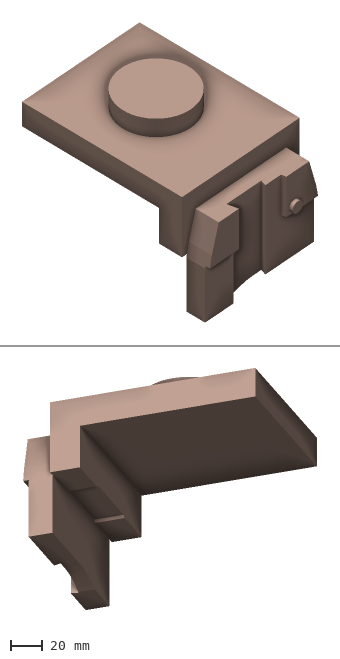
import cadquery as cq
import math

length = 161.0
width = 108.0
height = 110.5
wall = 20.0
plate_length = 138.1
leg_bottom = -49.0

pad_diameter = 59.9
pad_height = 15.0
pad_x = 65.0

groove_depth = 1.6
groove_half_width = 22.9

jaw_width = 100.0
jaw_half_width = jaw_width / 2
jaw_thin = 16.1
jaw_top = -16.7
jaw_bottom = pad_height - height
top_half_width = 41.5
shoulder_inset = 2.1
shoulder_half_width = jaw_half_width - shoulder_inset
shoulder_z = -40.0
side_z = -51.5
step_z = -49.6
relief_rise = 6.1
relief_radius = jaw_half_width

channel_floor = 11.1
channel_left = 7.0
channel_right = -25.0
mouth_left = 5.3
mouth_right = -23.0
ledge_inner = 19.8
ledge_outer = 20.5

pin_diameter = 9.3
pin_y = 27.9
pin_z = -44.3

jaw_front = plate_length
jaw_back = jaw_front + wall
thin_back = jaw_front + jaw_thin


def make_bracket():
    """L-shaped plate and leg with the pad and the leg groove."""
    leg_front = plate_length - wall
    bracket = (
        cq.Workplane("XZ")
        .moveTo(0, 0)
        .lineTo(plate_length, 0)
        .lineTo(plate_length, leg_bottom)
        .lineTo(leg_front, leg_bottom)
        .lineTo(leg_front, -wall)
        .lineTo(0, -wall)
        .close()
        .extrude(width / 2, both=True)
    )
    groove_base = groove_half_width + groove_depth
    groove = (
        cq.Workplane("YZ", origin=(leg_front, 0, leg_bottom))
        .moveTo(-groove_base, 0)
        .lineTo(-groove_half_width, groove_depth)
        .lineTo(groove_half_width, groove_depth)
        .lineTo(groove_base, 0)
        .close()
        .extrude(wall)
    )
    pad = (
        cq.Workplane("XY")
        .center(pad_x, 0)
        .circle(pad_diameter / 2)
        .extrude(pad_height)
    )
    return bracket.cut(groove).union(pad)


def make_jaw():
    """Tapered jaw plate, stepped at the rear and relieved along its lower edge."""
    raised_bottom = jaw_bottom + relief_rise
    arc_end = math.sqrt(relief_radius**2 - (relief_radius - relief_rise) ** 2)
    jaw = (
        cq.Workplane("YZ", origin=(jaw_front, 0, 0))
        .moveTo(-top_half_width, jaw_top)
        .lineTo(top_half_width, jaw_top)
        .lineTo(shoulder_half_width, shoulder_z)
        .lineTo(jaw_half_width, side_z)
        .lineTo(jaw_half_width, raised_bottom)
        .lineTo(0, raised_bottom)
        .tangentArcPoint((-arc_end, jaw_bottom), relative=False)
        .lineTo(-jaw_half_width, jaw_bottom)
        .lineTo(-jaw_half_width, side_z)
        .lineTo(-shoulder_half_width, shoulder_z)
        .close()
        .extrude(wall)
    )
    below_step = cq.Workplane("XY").box(
        wall - jaw_thin, jaw_width, step_z - jaw_bottom, centered=(False, True, False)
    ).translate((thin_back, 0, jaw_bottom))
    return jaw.cut(below_step)


def make_channel():
    """Cutter for the undercut channel, with a ledge on its +Y side."""
    return (
        cq.Workplane("XY", origin=(0, 0, jaw_bottom))
        .moveTo(jaw_back, ledge_outer)
        .lineTo(thin_back, ledge_inner)
        .lineTo(thin_back, mouth_left)
        .lineTo(jaw_front + channel_floor, channel_left)
        .lineTo(jaw_front + channel_floor, channel_right)
        .lineTo(jaw_back, mouth_right)
        .close()
        .extrude(jaw_top - jaw_bottom)
    )


def make_pin():
    return (
        cq.Workplane("YZ", origin=(jaw_back, pin_y, pin_z))
        .circle(pin_diameter / 2)
        .extrude(length - jaw_back)
    )


jaw = make_jaw().cut(make_channel()).union(make_pin())
result = make_bracket().union(jaw)